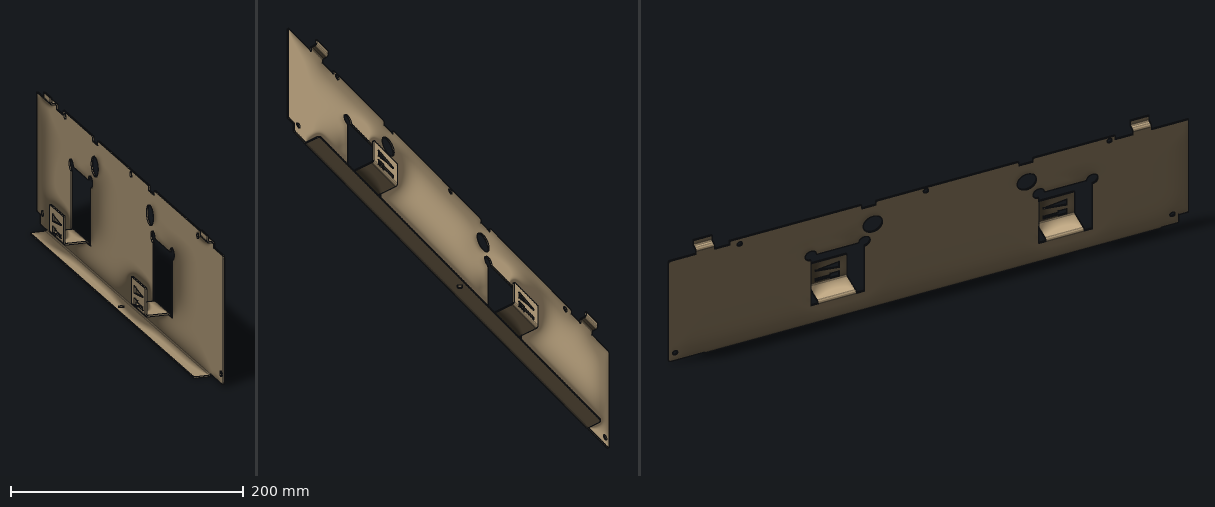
import cadquery as cq
import math


length = 482.0
depth = 23.5
height = 130.0
thickness = 1.5
inner_bend = 1.0
outer_bend = inner_bend + thickness

panel_overlap = thickness

panel_bottom = outer_bend
panel_top = 123.5
shoulder_top = 119.0
raised_left = 68.0
raised_right = 425.0
corner_radius = 2.5
small_radius = 1.5
left_step_width = 9.0
left_step_top = 11.5
notch_starts = (144.0, 289.5)
notch_width = 13.0

screw_diameter = 5.0
screw_holes = ((15.0, 14.0), (73.5, 119.5), (243.5, 119.5), (416.0, 117.0), (475.5, 11.0))
cable_diameter = 18.0
cable_holes = ((150.0, 98.0), (292.5, 98.0))

window_starts = (89.0, 300.5)
window_width = 49.5
window_top = 80.5
relief_radius = 5.5

bracket_shelf = 23.5
window_bottom = bracket_shelf - inner_bend
bracket_inset = 7.0
bracket_width = 35.5
bracket_top = 49.5
bracket_corner = 1.0

slot_inset = 7.0
slot_length = 22.0
upper_slot_z = 40.0
upper_head_height = 6.7
upper_tip_height = 1.0
lower_slot_z = 29.5
lower_head_length = 8.0
lower_head_height = 6.0
lower_tip_height = 3.0

hook_starts = (34.0, 439.0)
hook_width = 17.5
hook_shelf = 123.5
hook_reach = 7.0

flange_left = 25.0
flange_right = 448.7
flange_depth = 16.5
flange_hole_x = 244.5
flange_hole_y = -10.5


def rounded_outline(plane, corners):
    """Closed wire along (u, v, radius) corners; a zero radius leaves the corner sharp."""
    path = []
    for i, (u, v, radius) in enumerate(corners):
        if radius == 0:
            path.append(((u, v),))
            continue
        before = corners[i - 1]
        after = corners[(i + 1) % len(corners)]
        here = cq.Vector(u, v)
        to_before = (cq.Vector(before[0], before[1]) - here).normalized()
        to_after = (cq.Vector(after[0], after[1]) - here).normalized()
        half_angle = to_before.getAngle(to_after) / 2
        setback = radius / math.tan(half_angle)
        bisector = (to_before + to_after).normalized()
        start = here + to_before * setback
        middle = here + bisector * (radius / math.sin(half_angle) - radius)
        end = here + to_after * setback
        path.append(tuple((p.x, p.y) for p in (start, middle, end)))
    wire = plane.moveTo(*path[0][-1])
    for stop in path[1:] + path[:1]:
        wire = wire.lineTo(*stop[0])
        if len(stop) == 3:
            wire = wire.threePointArc(stop[1], stop[2])
    return wire.wire()


def front_plane(y=0):
    """Plane facing -Y whose local axes are X and Z."""
    return cq.Workplane("XZ", origin=(0, y, 0))


def panel_blank():
    corners = [
        (left_step_width, panel_bottom, small_radius),
        (length, panel_bottom, corner_radius),
        (length, shoulder_top, corner_radius),
        (raised_right, shoulder_top, 0),
        (raised_right, panel_top, 0),
    ]
    for start in reversed(notch_starts):
        corners += [
            (start + notch_width, panel_top, small_radius),
            (start + notch_width, shoulder_top, 0),
            (start, shoulder_top, 0),
            (start, panel_top, small_radius),
        ]
    corners += [
        (raised_left, panel_top, 0),
        (raised_left, shoulder_top, 0),
        (0, shoulder_top, 0),
        (0, left_step_top, 0),
        (left_step_width, left_step_top, 0),
    ]
    return rounded_outline(front_plane(), corners).extrude(thickness)


def panel_holes():
    screws = front_plane().pushPoints(screw_holes).circle(screw_diameter / 2)
    cables = front_plane().pushPoints(cable_holes).circle(cable_diameter / 2)
    return screws.extrude(thickness).union(cables.extrude(thickness))


def window(left):
    right = left + window_width
    opening = (
        front_plane()
        .moveTo(left, window_bottom)
        .lineTo(right, window_bottom)
        .lineTo(right, window_top)
        .lineTo(left, window_top)
        .close()
        .extrude(thickness)
    )
    reliefs = front_plane().pushPoints([(left, window_top), (right, window_top)]).circle(relief_radius)
    return opening.union(reliefs.extrude(thickness))


def stepped_tab(left, width, root, shelf, reach, top):
    """Strip that leaves the panel at height root, bends forward along a shelf, then turns up."""
    profile = [
        (0, root, 0),
        (0, shelf + thickness, outer_bend),
        (thickness - reach, shelf + thickness, inner_bend),
        (thickness - reach, top, 0),
        (-reach, top, 0),
        (-reach, shelf, outer_bend),
        (-thickness, shelf, inner_bend),
        (-thickness, root, 0),
    ]
    return rounded_outline(cq.Workplane("YZ", origin=(left, 0, 0)), profile).extrude(width)


def slot(left, middle, upper_edge):
    """Slot through a bracket wall, mirrored about its middle height.

    The upper edge is given by (distance from the left end, full slot height) points.
    """
    points = [(left + distance, middle + slot_height / 2) for distance, slot_height in upper_edge]
    points += [(left + distance, middle - slot_height / 2) for distance, slot_height in reversed(upper_edge)]
    return front_plane(thickness - depth).polyline(points).close().extrude(thickness)


def bracket(left):
    root = window_bottom - panel_overlap
    body = stepped_tab(left, bracket_width, root, bracket_shelf, depth, bracket_top)
    body = body.edges("|Y").edges(">Z").fillet(bracket_corner)
    tapered_edge = [(0, upper_head_height), (slot_length, upper_tip_height)]
    stepped_edge = [
        (0, lower_head_height),
        (lower_head_length, lower_head_height),
        (lower_head_length, lower_tip_height),
        (slot_length, lower_tip_height),
    ]
    upper = slot(left + slot_inset, upper_slot_z, tapered_edge)
    lower = slot(left + slot_inset, lower_slot_z, stepped_edge)
    return body.cut(upper).cut(lower)


def hook(left):
    return stepped_tab(left, hook_width, shoulder_top, hook_shelf, hook_reach, height)


def bottom_flange():
    root = panel_bottom + panel_overlap
    profile = [
        (0, root, 0),
        (0, 0, outer_bend),
        (-flange_depth, 0, 0),
        (-flange_depth, thickness, 0),
        (-thickness, thickness, inner_bend),
        (-thickness, root, 0),
    ]
    plane = cq.Workplane("YZ", origin=(flange_left, 0, 0))
    flange = rounded_outline(plane, profile).extrude(flange_right - flange_left)
    flange = flange.edges("|Z").edges("<Y").fillet(corner_radius)
    hole = cq.Workplane("XY").center(flange_hole_x, flange_hole_y).circle(screw_diameter / 2)
    return flange.cut(hole.extrude(thickness))


result = panel_blank().cut(panel_holes())
for window_left in window_starts:
    result = result.cut(window(window_left)).union(bracket(window_left + bracket_inset))
for hook_left in hook_starts:
    result = result.union(hook(hook_left))
result = result.union(bottom_flange())